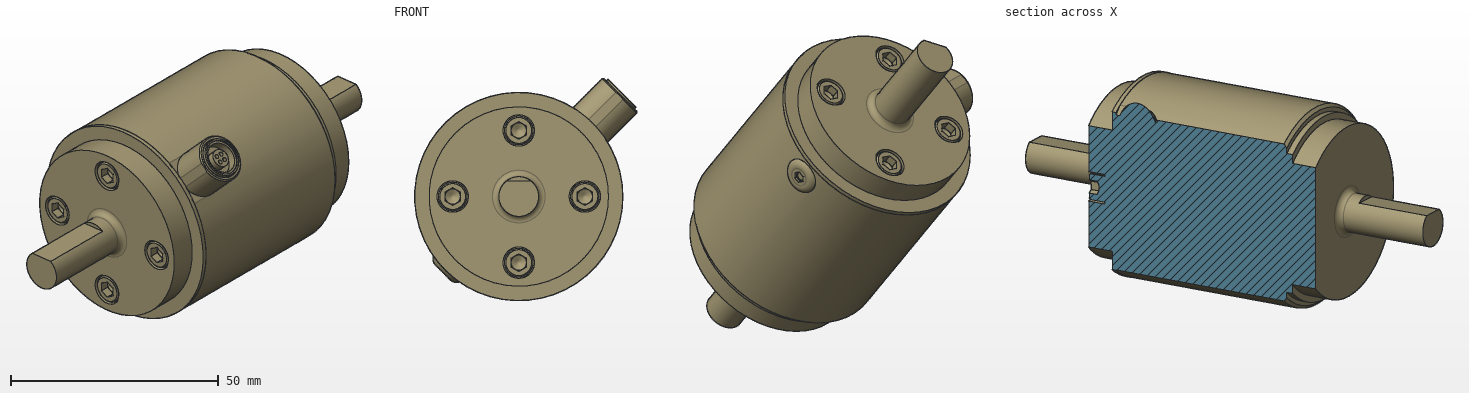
import cadquery as cq
import math

overall_length = 111.2
body_dia = 50.0
front_flange_dia = 50.1
body_front = -25.2
body_back = 23.7
body_chamfer = 0.8
front_flange_thickness = 1.1
flange_back = body_front + front_flange_thickness
cap_dia = 43.1
cap_half_length = 31.8
ring_dia = 46.3
ring_back = 25.3

shaft_dia = 9.6
shaft_root_fillet = 1.6
shaft_flat_length = 18.9
shaft_flat_height = 3.8

screw_circle_radius = 15.9
screw_hole_dia = 7.6
screw_hole_depth = 4.5
screw_head_dia = 6.9
screw_rim_chamfer = 0.3
screw_head_recess = 0.1
screw_hex_width = 3.7
screw_hex_depth = 2.2

connector_y = -18.1
connector_dia = 11.8
connector_base = 23.2
connector_nut_end = 34.6
connector_nut_chamfer = 0.3
connector_nut_bore = 10.0
connector_tip = 35.1
connector_rim_dia = 9.6
connector_gap_depth = 0.6
connector_flat_width = 2.5
socket_mouth_dia = 8.7
socket_mouth_depth = 0.3
socket_dia = 7.6
socket_depth = 2.8
insert_dia = 4.5
insert_recess = 0.6
contact_dia = 1.0
contact_pitch = 1.6
contact_depth = 1.1

seat_width = 12.5
seat_height = 24.3
seat_cut_depth = 1.8

button_y = -19.3
button_dia = 8.7
button_base = 23.9
button_edge = 24.8
button_top = 25.8
button_land_dia = 4.5
button_bulge_radius = 3.9
button_bulge_height = 25.3
button_hex_width = 2.5
button_hex_depth = 0.7

socket_cone_angle = 30.0


def y_cylinder(diameter, y_start, y_end):
    """Cylinder on the Y axis between two Y positions."""
    disc = cq.Workplane("XZ", origin=(0, y_start, 0)).circle(diameter / 2)
    return disc.extrude(y_start - y_end)


def radial_plane(y, direction):
    """Plane at the part axis whose normal leans 45 degrees from Z; local Y stays along the part axis."""
    return cq.Plane(origin=(0, y, 0), xDir=(direction, 0, -direction), normal=(direction, 0, direction))


def hex_socket(plane, across_flats, top, depth):
    """Hexagonal recess cutter along a plane normal, ending in a conical point."""
    corner_dia = across_flats / math.cos(math.pi / 6)
    bottom = top - depth
    cone_radius = across_flats / 2
    cone_height = cone_radius * math.tan(math.radians(socket_cone_angle))
    apex = plane.toWorldCoords((0, 0, bottom - cone_height))
    prism = cq.Workplane(plane).workplane(offset=bottom).polygon(6, corner_dia).extrude(depth)
    cone = cq.Workplane(cq.Solid.makeCone(0, cone_radius, cone_height, apex, plane.zDir))
    return prism.union(cone)


def make_housing():
    """Body with its front flange, the rear ring and a cap at each end."""
    flange = y_cylinder(front_flange_dia, body_front, flange_back)
    body = y_cylinder(body_dia, flange_back, body_back).faces(">Y").chamfer(body_chamfer)
    body = body.cut(make_connector_seat()).union(flange)
    ring = y_cylinder(ring_dia, 0, ring_back)
    caps = y_cylinder(cap_dia, -cap_half_length, cap_half_length)
    return body.union(ring).union(caps)


def make_connector_seat():
    """U-shaped pocket, round behind the connector and open up to the front flange."""
    straight_length = connector_y - flange_back
    floor = cq.Workplane(radial_plane(connector_y, 1)).workplane(offset=seat_height)
    return (
        floor.moveTo(-seat_width / 2, -straight_length)
        .lineTo(seat_width / 2, -straight_length)
        .lineTo(seat_width / 2, 0)
        .threePointArc((0, seat_width / 2), (-seat_width / 2, 0))
        .close()
        .extrude(seat_cut_depth)
    )


def make_shaft():
    """Shaft with a concave root fillet at each cap and a flat on top of each end."""
    radius = shaft_dia / 2
    half_length = overall_length / 2
    root_end = cap_half_length + shaft_root_fillet
    arc_offset = shaft_root_fillet * (1 - math.sqrt(0.5))
    half = (
        cq.Workplane("XY")
        .lineTo(radius + shaft_root_fillet, 0)
        .lineTo(radius + shaft_root_fillet, cap_half_length)
        .threePointArc((radius + arc_offset, cap_half_length + arc_offset), (radius, root_end))
        .lineTo(radius, half_length)
        .lineTo(0, half_length)
        .close()
        .revolve(360, (0, 0, 0), (0, 1, 0))
    )
    flat = cq.Workplane("XY").box(shaft_dia, shaft_flat_length, radius, centered=(True, False, False))
    half = half.cut(flat.translate((0, half_length - shaft_flat_length, shaft_flat_height)))
    return half.union(half.mirror("XZ"))


def add_cap_screws(part):
    """Four counterbored socket head screws, each with a thin gap around its head."""
    screw_count = 4
    for index in range(screw_count):
        angle = index * 2 * math.pi / screw_count
        x = screw_circle_radius * math.cos(angle)
        z = screw_circle_radius * math.sin(angle)
        plane = cq.Plane(origin=(x, -cap_half_length, z), xDir=(0, 0, 1), normal=(0, -1, 0))
        hole = cq.Workplane(plane).circle(screw_hole_dia / 2).extrude(-screw_hole_depth)
        head_height = screw_hole_depth - screw_head_recess
        head = (
            cq.Workplane(plane)
            .workplane(offset=-screw_hole_depth)
            .circle(screw_head_dia / 2)
            .extrude(head_height)
            .faces("<Y")
            .chamfer(screw_rim_chamfer)
            .cut(hex_socket(plane, screw_hex_width, -screw_head_recess, screw_hex_depth))
        )
        part = part.cut(hole).union(head)
    return part


def make_connector():
    """Cylindrical connector: outer nut, inner rim and a recessed insert with contact holes."""
    plane = radial_plane(connector_y, 1)
    radius = connector_dia / 2

    def disc(diameter, start, end):
        return cq.Workplane(plane).workplane(offset=start).circle(diameter / 2).extrude(end - start)

    shell = disc(connector_dia, connector_base, connector_nut_end)
    shell = shell.faces(">(1, 0, 1)").chamfer(connector_nut_chamfer)
    gap_floor = connector_nut_end - connector_gap_depth
    shell = shell.cut(disc(connector_nut_bore, gap_floor, connector_nut_end))
    shell = shell.union(disc(connector_rim_dia, gap_floor, connector_tip))
    shell = shell.cut(disc(socket_mouth_dia, connector_tip - socket_mouth_depth, connector_tip))
    shell = shell.cut(disc(socket_dia, connector_tip - socket_depth, connector_tip))

    flat_distance = math.sqrt(radius**2 - (connector_flat_width / 2) ** 2)
    trim = cq.Workplane("XY").box(body_dia * 2, radius, body_dia * 2, centered=(True, False, True))
    shell = shell.cut(trim.translate((0, connector_y - flat_distance - radius, 0)))

    insert_top = connector_tip - insert_recess
    contacts = (
        cq.Workplane(plane)
        .workplane(offset=insert_top - contact_depth)
        .rarray(contact_pitch, contact_pitch, 2, 2)
        .circle(contact_dia / 2)
        .extrude(contact_depth)
    )
    insert = disc(insert_dia, connector_tip - socket_depth, insert_top).cut(contacts)
    return shell.union(insert)


def make_button_screw():
    """Domed screw head with a small flat land around its hexagonal socket."""
    plane = radial_plane(button_y, -1)
    profile_plane = cq.Plane(origin=plane.origin, xDir=plane.xDir, normal=-plane.yDir)
    head = (
        cq.Workplane(profile_plane)
        .moveTo(0, button_base)
        .lineTo(button_dia / 2, button_base)
        .lineTo(button_dia / 2, button_edge)
        .threePointArc((button_bulge_radius, button_bulge_height), (button_land_dia / 2, button_top))
        .lineTo(0, button_top)
        .close()
        .revolve(360, (0, 0, 0), (0, 1, 0))
    )
    return head.cut(hex_socket(plane, button_hex_width, button_top, button_hex_depth))


result = make_housing().union(make_shaft())
result = add_cap_screws(result)
result = result.union(make_connector()).union(make_button_screw())